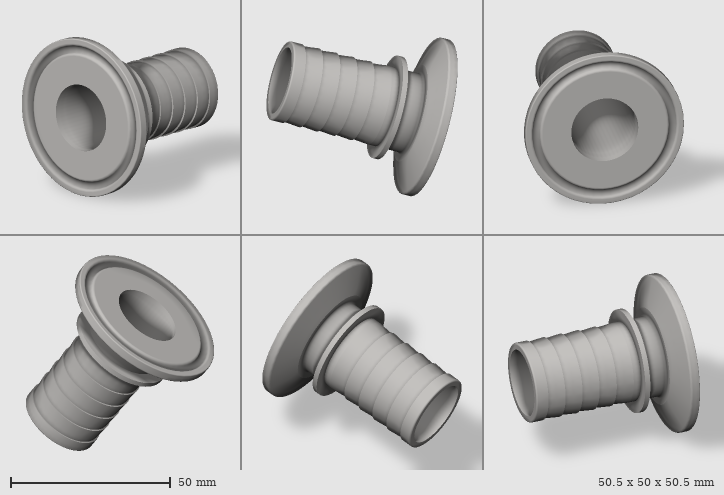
import cadquery as cq
import math

total_length = 50.0
bore_radius = 10.65
tube_radius = 12.75
end_round = 0.5

flange_radius = 25.25
flange_height = 6.5
flange_step_radius = 15.55
cone_angle = math.radians(20)
face_round = 0.35
rim_round = 0.75
neck_round = 0.7

groove_radius = 21.7
wall_angle = math.radians(70)
wall_width = 0.1
lip_round = 0.85
bottom_round = 1.15

collar_radius = 16.5
collar_start = 13.4
collar_thickness = 1.65

barb_root_radius = 12.15
barb_start = 17.45
barb_pitch = 5.7
barb_count = 5


def revolve_about_y(profile):
    """Revolve a closed (radius, Y) outline about the Y axis."""
    return profile.close().revolve(360, (0, 0, 0), (0, 1, 0))


def make_flange():
    """Clamp flange with a conical back, rounded rim edges and a flat step."""
    rim_height = flange_height - (flange_radius - flange_step_radius) * math.tan(cone_angle)
    flange = revolve_about_y(
        cq.Workplane("XY")
        .lineTo(flange_radius, 0)
        .lineTo(flange_radius, rim_height)
        .lineTo(flange_step_radius, flange_height)
        .lineTo(0, flange_height)
    )
    rim_zone = cq.selectors.BoxSelector(
        (-2 * flange_radius, rim_height - rim_round, -2 * flange_radius),
        (2 * flange_radius, rim_height + rim_round, 2 * flange_radius),
    )
    flange = flange.edges(rim_zone).fillet(rim_round)
    return flange.faces("<Y").edges().fillet(face_round)


def make_tube():
    """Solid spigot with a ring of saw-tooth barbs and a rounded free end."""
    profile = cq.Workplane("XY").lineTo(tube_radius, 0).lineTo(tube_radius, barb_start)
    for barb in range(1, barb_count + 1):
        barb_top = barb_start + barb * barb_pitch
        profile = profile.lineTo(barb_root_radius, barb_top).lineTo(tube_radius, barb_top)
    profile = profile.lineTo(tube_radius, total_length).lineTo(0, total_length)
    return revolve_about_y(profile).faces(">Y").edges().fillet(end_round)


def make_neck_fillet():
    """Concave ring blending the tube into the flange step."""
    outer_radius = tube_radius + neck_round
    top = flange_height + neck_round
    arc_reach = neck_round * (1 - math.sqrt(0.5))
    return revolve_about_y(
        cq.Workplane("XY")
        .moveTo(bore_radius, flange_height)
        .lineTo(outer_radius, flange_height)
        .threePointArc((tube_radius + arc_reach, flange_height + arc_reach), (tube_radius, top))
        .lineTo(bore_radius, top)
    )


def make_collar():
    """Flat stop ring around the tube."""
    return revolve_about_y(
        cq.Workplane("XY")
        .moveTo(bore_radius, collar_start)
        .lineTo(collar_radius, collar_start)
        .lineTo(collar_radius, collar_start + collar_thickness)
        .lineTo(bore_radius, collar_start + collar_thickness)
    )


def make_groove():
    """Gasket groove: eased lips, short steep walls and a round bottom, alike on both sides."""
    half_width = lip_round * math.sin(wall_angle) + wall_width + bottom_round * math.sin(wall_angle)
    wall_top_offset = half_width - lip_round * math.sin(wall_angle)
    wall_top_depth = lip_round * (1 - math.cos(wall_angle))
    wall_foot_offset = wall_top_offset - wall_width
    wall_foot_depth = wall_top_depth + wall_width * math.tan(wall_angle)
    bottom_depth = wall_foot_depth + bottom_round * (1 - math.cos(wall_angle))
    lip_middle_offset = half_width - lip_round * math.sin(wall_angle / 2)
    lip_middle_depth = lip_round * (1 - math.cos(wall_angle / 2))

    def outer(offset, depth):
        return (groove_radius + offset, depth)

    def inner(offset, depth):
        return (groove_radius - offset, depth)

    return revolve_about_y(
        cq.Workplane("XY")
        .moveTo(*outer(half_width, 0))
        .threePointArc(outer(lip_middle_offset, lip_middle_depth), outer(wall_top_offset, wall_top_depth))
        .lineTo(*outer(wall_foot_offset, wall_foot_depth))
        .threePointArc((groove_radius, bottom_depth), inner(wall_foot_offset, wall_foot_depth))
        .lineTo(*inner(wall_top_offset, wall_top_depth))
        .threePointArc(inner(lip_middle_offset, lip_middle_depth), inner(half_width, 0))
    )


bore = cq.Workplane("XZ").circle(bore_radius).extrude(-total_length)

body = make_flange().union(make_tube()).union(make_neck_fillet()).union(make_collar())
result = body.cut(make_groove()).cut(bore)